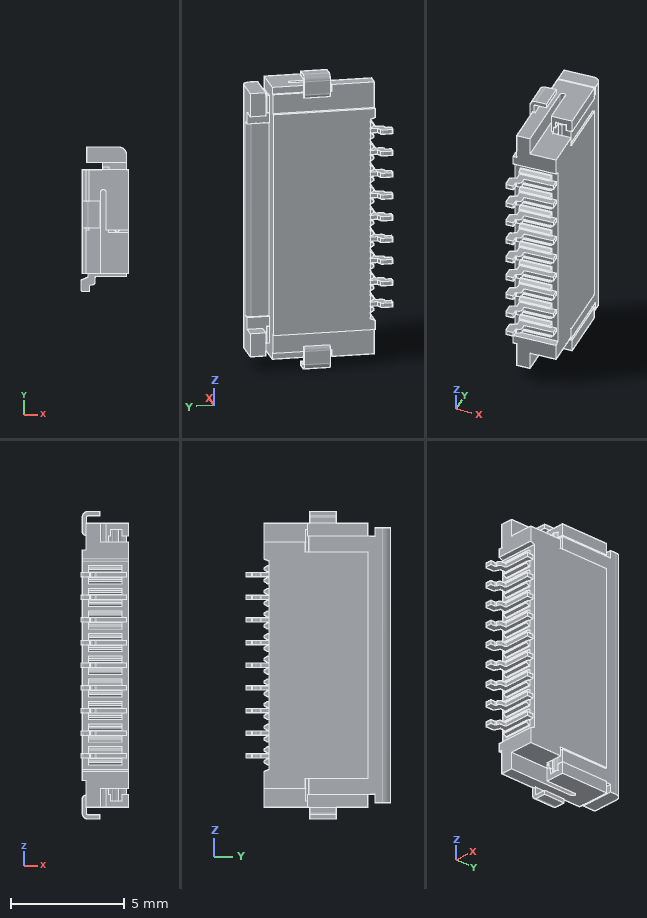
import cadquery as cq


HOUSING_X_MIN = -1.0
HOUSING_X_MAX = 1.05
HOUSING_Y_FRONT = -2.40
HOUSING_Y_BACK = 2.19
HOUSING_Z_HALF = 6.28
FRONT_RECESS_Y = -2.18
FRONT_RECESS_Z_INNER = 4.60
FRONT_RECESS_Z_OUTER = 4.69
END_STEP_X = -0.83
END_STEP_Z = 5.10

CLIP_SLOT_FLOOR_X = -0.705
CLIP_SLOT_Y_MIN = -0.47
CLIP_SLOT_Z = 5.97

NOTCH_Z = 5.45
NOTCH_X = 0.06
NOTCH_Y = -0.48
SLOT_X_MIN = -0.19
SLOT_Y_END = 1.31

POCKET_X_MIN = 0.17
POCKET_Y_FRONT = -0.59
POCKET_Z_TOP = 5.70
HEAD_POCKET_X_MIN = 0.26
HEAD_POCKET_X_MAX = 0.76
HEAD_POCKET_Z_TOP = 5.99
HEAD_POCKET_Y_BACK = 0.40

ACTUATOR_X_MAX = 0.97
ACTUATOR_Y_BACK = 3.20
ACTUATOR_CORNER_RADIUS = 0.37
EAR_X_MIN = -0.80
EAR_Y_FRONT = 2.50
EAR_Z_TOP = 6.08
NECK_X_MIN = -0.10
NECK_Z_BOTTOM = 5.01
FLAP_X_MIN = 0.0
FLAP_Z_HALF = 4.47
FLAP_EDGE_RADIUS = 0.20

TAB_X_MIN = -0.07
TAB_X_MAX = 0.19
TAB_Y_BACK = 2.31
TAB_Z_BOTTOM = 4.93
TAB_Z_TOP = POCKET_Z_TOP + 0.02

ARM_NOSE_Y = -0.56
ARM_NOSE_X = 0.60
ARM_NOSE_RADIUS = 0.26
ARM_HOLLOW_DEPTH = 0.08
ARM_SHOULDER_Y = -0.42
ARM_FLANK_Y = 0.30

CLIP_THICKNESS = 0.20
CLIP_Y_MIN = -0.38
CLIP_Y_MAX = 0.80
CLIP_X_END = -0.21
CLIP_Z_TOP = 6.80
CLIP_Z_BOTTOM = 5.73
CLIP_BEND_INNER_RADIUS = 0.07
CLIP_TIP_RADIUS = 0.19

CONTACT_COUNT = 9
CONTACT_PITCH = 1.0
CONTACT_THICKNESS = 0.20
BAR_X_MIN = -0.75
BAR_X_MAX = ACTUATOR_X_MAX
BAR_Y_FRONT = -2.53
LEG_X_MAX = -0.42
LEG_Y_FRONT = -2.91
SLOPE_Y_START = -2.55
SLOPE_Y_END = -2.65
FOOT_X_MIN = -1.05
FOOT_X_MAX = -0.67
FOOT_Y_END = -3.20
FOOT_RADIUS = 0.08
INNER_CHAMFER = 0.04
LEG_KNEE_RADIUS = 0.15
BAR_FILLET_RADIUS = 0.05
RIB_X_MIN = -0.72
RIB_X_MAX = 0.77
RIB_OFFSET = 0.26
RIB_BASE_HALF = 0.14
RIB_TOP_HALF = 0.04
RIB_STRAIGHT = 0.06
RIB_HEIGHT = FRONT_RECESS_Y - HOUSING_Y_FRONT

OVERLAP = 0.1
CLEARANCE = 1.0


def box(x_range, y_range, z_range):
    """Axis-aligned block between the given limits."""
    sizes = [high - low for low, high in (x_range, y_range, z_range)]
    corner = (x_range[0], y_range[0], z_range[0])
    return cq.Workplane("XY").box(*sizes, centered=False).translate(corner)


def both_ends(piece):
    """The piece at the +Z end and its mirror image at the -Z end."""
    return [piece, piece.mirror("XY")]


def make_housing():
    housing = box(
        (HOUSING_X_MIN, HOUSING_X_MAX),
        (HOUSING_Y_FRONT, HOUSING_Y_BACK),
        (-HOUSING_Z_HALF, HOUSING_Z_HALF),
    )
    recess = (
        cq.Workplane("YZ", origin=(HOUSING_X_MIN, 0, 0))
        .polyline([
            (HOUSING_Y_FRONT, -FRONT_RECESS_Z_OUTER),
            (FRONT_RECESS_Y, -FRONT_RECESS_Z_INNER),
            (FRONT_RECESS_Y, FRONT_RECESS_Z_INNER),
            (HOUSING_Y_FRONT, FRONT_RECESS_Z_OUTER),
        ])
        .close()
        .extrude(HOUSING_X_MAX - HOUSING_X_MIN)
    )
    housing = housing.cut(recess)
    for make_cut in (make_end_step, make_clip_slot, make_notch, make_pivot_pocket):
        for cutter in both_ends(make_cut()):
            housing = housing.cut(cutter)
    return housing


def make_end_step():
    return box(
        (HOUSING_X_MIN - CLEARANCE, END_STEP_X),
        (HOUSING_Y_FRONT - CLEARANCE, HOUSING_Y_BACK + CLEARANCE),
        (END_STEP_Z, HOUSING_Z_HALF + CLEARANCE),
    )


def make_clip_slot():
    return box(
        (HOUSING_X_MIN, CLIP_SLOT_FLOOR_X),
        (CLIP_SLOT_Y_MIN, HOUSING_Y_BACK + CLEARANCE),
        (CLIP_SLOT_Z, HOUSING_Z_HALF + CLEARANCE),
    )


def make_notch():
    """Corner notch that narrows into a round-ended slot along +Y."""
    z_range = (NOTCH_Z, HOUSING_Z_HALF + CLEARANCE)
    notch = box(
        (SLOT_X_MIN, HOUSING_X_MAX + CLEARANCE),
        (HOUSING_Y_FRONT - CLEARANCE, NOTCH_Y),
        z_range,
    )
    slot_radius = (NOTCH_X - SLOT_X_MIN) / 2
    slot_center_x = (NOTCH_X + SLOT_X_MIN) / 2
    slot = box((SLOT_X_MIN, NOTCH_X), (NOTCH_Y - OVERLAP, SLOT_Y_END - slot_radius), z_range)
    slot_end = (
        cq.Workplane("XY", origin=(slot_center_x, SLOT_Y_END - slot_radius, NOTCH_Z))
        .circle(slot_radius)
        .extrude(z_range[1] - z_range[0])
    )
    return notch.union(slot).union(slot_end)


def make_pivot_pocket():
    """Passage for the actuator arm, with a raised part for the arm head."""
    passage = box(
        (POCKET_X_MIN, HOUSING_X_MAX + CLEARANCE),
        (POCKET_Y_FRONT, HOUSING_Y_BACK + CLEARANCE),
        (NECK_Z_BOTTOM, POCKET_Z_TOP),
    )
    head_room = box(
        (HEAD_POCKET_X_MIN, HEAD_POCKET_X_MAX),
        (NOTCH_Y - OVERLAP, HEAD_POCKET_Y_BACK),
        (POCKET_Z_TOP - OVERLAP, HEAD_POCKET_Z_TOP),
    )
    return passage.union(head_room)


def make_actuator_center():
    """Flap along the whole back, thinner between the two ends."""
    ends = box(
        (NECK_X_MIN, ACTUATOR_X_MAX),
        (HOUSING_Y_BACK - OVERLAP, ACTUATOR_Y_BACK),
        (-NECK_Z_BOTTOM, NECK_Z_BOTTOM),
    )
    ends = ends.edges("|Z and >X and >Y").fillet(ACTUATOR_CORNER_RADIUS)
    outside_flap = box(
        (NECK_X_MIN, FLAP_X_MIN),
        (HOUSING_Y_BACK, ACTUATOR_Y_BACK),
        (-FLAP_Z_HALF, FLAP_Z_HALF),
    )
    edge_strip = box(
        (FLAP_X_MIN, FLAP_X_MIN + FLAP_EDGE_RADIUS),
        (ACTUATOR_Y_BACK - FLAP_EDGE_RADIUS, ACTUATOR_Y_BACK),
        (-FLAP_Z_HALF, FLAP_Z_HALF),
    )
    edge_round = (
        cq.Workplane("XY", origin=(0, 0, -FLAP_Z_HALF))
        .center(FLAP_X_MIN + FLAP_EDGE_RADIUS, ACTUATOR_Y_BACK - FLAP_EDGE_RADIUS)
        .circle(FLAP_EDGE_RADIUS)
        .extrude(2 * FLAP_Z_HALF)
    )
    return ends.cut(outside_flap).cut(edge_strip.cut(edge_round))


def make_ear():
    """Thick finger block at the end of the actuator."""
    ear = box(
        (EAR_X_MIN, ACTUATOR_X_MAX),
        (EAR_Y_FRONT, ACTUATOR_Y_BACK),
        (NECK_Z_BOTTOM, EAR_Z_TOP),
    )
    return ear.edges("|Z and >X and >Y").fillet(ACTUATOR_CORNER_RADIUS)


def make_neck():
    return box(
        (NECK_X_MIN, ACTUATOR_X_MAX),
        (HOUSING_Y_BACK, EAR_Y_FRONT + OVERLAP),
        (NECK_Z_BOTTOM - OVERLAP, POCKET_Z_TOP),
    )


def make_tab_relief():
    """Shallow relief in the actuator face that receives the hinge tab."""
    return box(
        (NECK_X_MIN, TAB_X_MIN),
        (HOUSING_Y_BACK, TAB_Y_BACK),
        (TAB_Z_BOTTOM, POCKET_Z_TOP),
    )


def make_tab():
    return box(
        (TAB_X_MIN, TAB_X_MAX),
        (HOUSING_Y_BACK - OVERLAP, TAB_Y_BACK),
        (TAB_Z_BOTTOM, TAB_Z_TOP),
    )


def make_arm_blank(z_top):
    """Arm outline with a quarter-round nose and a shallow hollow beside it."""
    hollow_mid_x = (ARM_NOSE_X + ACTUATOR_X_MAX) / 2
    hollow_mid_y = (ARM_NOSE_Y + ARM_SHOULDER_Y) / 2 + ARM_HOLLOW_DEPTH
    return (
        cq.Workplane("XY", origin=(0, 0, NECK_Z_BOTTOM))
        .moveTo(ACTUATOR_X_MAX, HOUSING_Y_BACK + OVERLAP)
        .lineTo(ACTUATOR_X_MAX, ARM_SHOULDER_Y)
        .threePointArc((hollow_mid_x, hollow_mid_y), (ARM_NOSE_X, ARM_NOSE_Y))
        .radiusArc((ARM_NOSE_X - ARM_NOSE_RADIUS, ARM_NOSE_Y + ARM_NOSE_RADIUS), ARM_NOSE_RADIUS)
        .lineTo(POCKET_X_MIN, ARM_FLANK_Y)
        .lineTo(POCKET_X_MIN, HOUSING_Y_BACK + OVERLAP)
        .close()
        .extrude(z_top - NECK_Z_BOTTOM)
    )


def make_arm():
    """Pivot arm with a taller head at its nose."""
    head_limits = box(
        (HEAD_POCKET_X_MIN, HEAD_POCKET_X_MAX),
        (POCKET_Y_FRONT, HEAD_POCKET_Y_BACK),
        (NECK_Z_BOTTOM, HEAD_POCKET_Z_TOP),
    )
    head = make_arm_blank(HEAD_POCKET_Z_TOP).intersect(head_limits)
    return make_arm_blank(POCKET_Z_TOP).union(head)


def make_clip():
    """Bent strip: upright against the end block, flange pointing to +X."""
    upright_x = HOUSING_X_MIN + CLIP_THICKNESS
    flange_z = CLIP_Z_TOP - CLIP_THICKNESS
    outer_radius = CLIP_THICKNESS + CLIP_BEND_INNER_RADIUS
    outer = box(
        (HOUSING_X_MIN, CLIP_X_END),
        (CLIP_Y_MIN, CLIP_Y_MAX),
        (CLIP_Z_BOTTOM, CLIP_Z_TOP),
    )
    outer = outer.edges("|Y and <X and >Z").fillet(outer_radius)
    outer = outer.edges("|Y and <X and <Z").fillet(CLIP_TIP_RADIUS)
    inner = box(
        (upright_x, CLIP_X_END + CLEARANCE),
        (CLIP_Y_MIN, CLIP_Y_MAX),
        (CLIP_Z_BOTTOM - CLEARANCE, flange_z),
    )
    inner = inner.edges("|Y and <X and >Z").fillet(CLIP_BEND_INNER_RADIUS)
    return outer.cut(inner)


def make_contact(z_center):
    """Flat contact: bar across the front face, leg and solder foot."""
    return (
        cq.Workplane("XY", origin=(0, 0, z_center - CONTACT_THICKNESS / 2))
        .moveTo(BAR_X_MIN, FRONT_RECESS_Y + OVERLAP)
        .lineTo(BAR_X_MIN, SLOPE_Y_START)
        .lineTo(FOOT_X_MIN + FOOT_RADIUS, SLOPE_Y_END)
        .radiusArc((FOOT_X_MIN, SLOPE_Y_END - FOOT_RADIUS), -FOOT_RADIUS)
        .lineTo(FOOT_X_MIN, FOOT_Y_END + FOOT_RADIUS)
        .radiusArc((FOOT_X_MIN + FOOT_RADIUS, FOOT_Y_END), -FOOT_RADIUS)
        .lineTo(FOOT_X_MAX, FOOT_Y_END)
        .lineTo(FOOT_X_MAX, LEG_Y_FRONT - INNER_CHAMFER)
        .lineTo(FOOT_X_MAX + INNER_CHAMFER, LEG_Y_FRONT)
        .lineTo(LEG_X_MAX - LEG_KNEE_RADIUS, LEG_Y_FRONT)
        .radiusArc((LEG_X_MAX, LEG_Y_FRONT + LEG_KNEE_RADIUS), -LEG_KNEE_RADIUS)
        .lineTo(LEG_X_MAX, BAR_Y_FRONT - BAR_FILLET_RADIUS)
        .radiusArc((LEG_X_MAX + BAR_FILLET_RADIUS, BAR_Y_FRONT), BAR_FILLET_RADIUS)
        .lineTo(BAR_X_MAX, BAR_Y_FRONT)
        .lineTo(BAR_X_MAX, FRONT_RECESS_Y + OVERLAP)
        .close()
        .extrude(CONTACT_THICKNESS)
    )


def make_rib(z_center):
    """Rib along X with a tapered crest."""
    shoulder_y = FRONT_RECESS_Y - RIB_STRAIGHT
    crest_y = FRONT_RECESS_Y - RIB_HEIGHT
    return (
        cq.Workplane("YZ", origin=(RIB_X_MIN, 0, z_center))
        .polyline([
            (FRONT_RECESS_Y + OVERLAP, -RIB_BASE_HALF),
            (shoulder_y, -RIB_BASE_HALF),
            (crest_y, -RIB_TOP_HALF),
            (crest_y, RIB_TOP_HALF),
            (shoulder_y, RIB_BASE_HALF),
            (FRONT_RECESS_Y + OVERLAP, RIB_BASE_HALF),
        ])
        .close()
        .extrude(RIB_X_MAX - RIB_X_MIN)
    )


def make_actuator():
    actuator = make_actuator_center()
    for make_piece in (make_ear, make_neck):
        for piece in both_ends(make_piece()):
            actuator = actuator.union(piece)
    for relief in both_ends(make_tab_relief()):
        actuator = actuator.cut(relief)
    return actuator


result = make_housing().union(make_actuator())
for make_end_piece in (make_tab, make_arm, make_clip):
    for end_piece in both_ends(make_end_piece()):
        result = result.union(end_piece)
for index in range(CONTACT_COUNT):
    contact_z = (index - (CONTACT_COUNT - 1) / 2) * CONTACT_PITCH
    result = result.union(make_contact(contact_z))
    for side in (-1, 1):
        result = result.union(make_rib(contact_z + side * RIB_OFFSET))